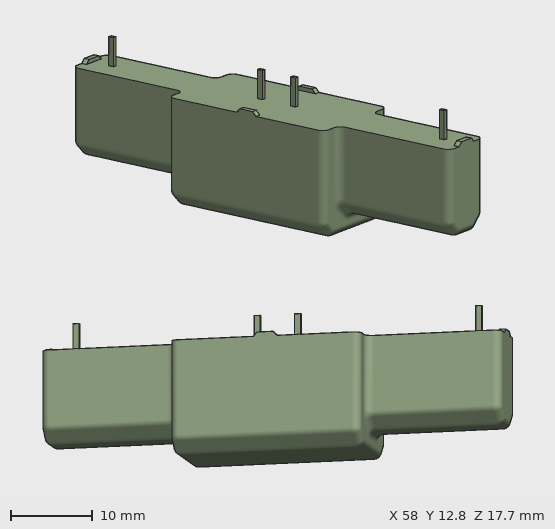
import cadquery as cq

bar_length, bar_width, bar_depth = 58.0, 6.8, 11.5
block_length, block_width, block_depth = 23.95, 12.75, 14.0
bottom_chamfer = 1.7
edge_radius = 1.0

pin_size_x, pin_size_y, pin_height = 0.75, 0.5, 3.7
pin_offsets = (2.55, 25.4)

tab_length, tab_thickness, tab_height = 3.0, 0.75, 0.5


def chamfered_prism(length, width, depth):
    """Box along X below the top face, chamfered on its two long bottom edges."""
    prism = cq.Workplane("XY").box(length, width, depth, centered=(True, True, False))
    prism = prism.translate((0, 0, -depth))
    return prism.faces("<Z").edges("|X").chamfer(bottom_chamfer)


def make_body():
    """Joined bar and block, every edge rounded except the top rim."""
    bar = chamfered_prism(bar_length, bar_width, bar_depth)
    block = chamfered_prism(block_length, block_width, block_depth)
    joined = block.union(bar)
    return joined.edges("not >Z").fillet(edge_radius)


def make_pin(x):
    pin = cq.Workplane("XY").box(pin_size_x, pin_size_y, pin_height, centered=(True, True, False))
    return pin.translate((x, 0, 0))


def make_tab(rim_distance, angle):
    """Tab flush with the rim at rim_distance from the centre, turned about Z from the -Y side."""
    half_foot = tab_length / 2
    half_crest = half_foot - tab_height
    outline = [
        (-half_foot, 0),
        (half_foot, 0),
        (half_crest, tab_height),
        (-half_crest, tab_height),
    ]
    tab = cq.Workplane("XZ").polyline(outline).close().extrude(-tab_thickness)
    return tab.translate((0, -rim_distance, 0)).rotate((0, 0, 0), (0, 0, 1), angle)


result = make_body()

for offset in pin_offsets:
    for side in (-1, 1):
        result = result.union(make_pin(side * offset))

for side_angle in (0, 180):
    result = result.union(make_tab(block_width / 2, side_angle))
    result = result.union(make_tab(bar_length / 2, side_angle + 90))